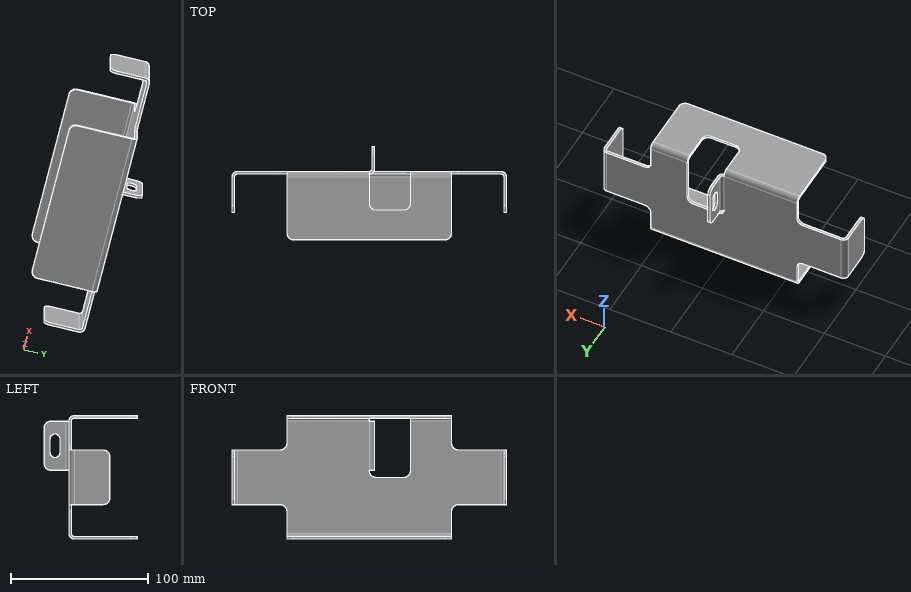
import cadquery as cq

thickness = 2.0
inner_bend = 2.0
outer_bend = inner_bend + thickness
corner_radius = 5.0

overall_height = 90.0
flange_length = 120.0
flange_depth = 50.0

overall_length = 200.0
arm_height = 40.0
arm_depth = 30.0

window_left = 0.0
window_width = 30.0
window_floor = 0.0
window_depth = 28.3

tab_reach = 18.0
tab_height = 36.0
tab_top = overall_height / 2 - outer_bend
tab_bottom = tab_top - tab_height
tab_middle = (tab_top + tab_bottom) / 2
slot_width = 7.0
slot_length = 17.0
slot_end_distance = 8.0


def box(x_range, y_range, z_range):
    """Axis-aligned box spanning the given (low, high) ranges."""
    ranges = (x_range, y_range, z_range)
    sizes = [high - low for low, high in ranges]
    corner = tuple(low for low, high in ranges)
    return cq.Workplane("XY").box(*sizes, centered=False).translate(corner)


def bent_channel(span, depth, width):
    """U-shaped sheet with legs `span` apart over their outer faces along X, and `width` high along Z."""
    half_span = span / 2
    half_width = width / 2
    outer = box((-half_span, half_span), (-depth, 0), (-half_width, half_width))
    outer = outer.edges("|Z and >Y").fillet(outer_bend)
    half_gap = half_span - thickness
    gap = box((-half_gap, half_gap), (-depth, -thickness), (-half_width, half_width))
    gap = gap.edges("|Z and >Y").fillet(inner_bend)
    legs = outer.cut(gap)
    return legs.edges("|X and <Y").fillet(corner_radius)


def inside_corner(x_corner, z_corner, x_side, z_side):
    """Concave fillet filling the web corner that opens towards (x_side, z_side)."""
    x_end = x_corner + x_side * corner_radius
    z_end = z_corner + z_side * corner_radius
    block = box(
        (min(x_corner, x_end), max(x_corner, x_end)),
        (-thickness, 0),
        (min(z_corner, z_end), max(z_corner, z_end)),
    )
    cutter = cq.Workplane("XZ").center(x_end, z_end).circle(corner_radius).extrude(thickness)
    return block.cut(cutter)


def make_body():
    """Long channel and end-flange channel sharing one web, with filleted inside corners."""
    long_channel = bent_channel(overall_height, flange_depth, flange_length)
    long_channel = long_channel.rotate((0, 0, 0), (0, 1, 0), 90)
    arm_channel = bent_channel(overall_length, arm_depth, arm_height)
    body = long_channel.union(arm_channel)
    half_length = flange_length / 2
    half_height = arm_height / 2
    for x_side in (-1, 1):
        for z_side in (-1, 1):
            x_corner = x_side * half_length
            z_corner = z_side * half_height
            body = body.union(inside_corner(x_corner, z_corner, x_side, z_side))
    return body


def cut_window(body):
    """Open the web and the top flange, rounding the window's closed corners."""
    window_right = window_left + window_width
    half_height = overall_height / 2
    web_opening = box((window_left, window_right), (-outer_bend, 0), (window_floor, half_height))
    web_opening = web_opening.edges("|Y and <Z").fillet(corner_radius)
    flange_opening = box(
        (window_left, window_right),
        (-window_depth, 0),
        (half_height - outer_bend, half_height),
    )
    flange_opening = flange_opening.edges("|Z and <Y").fillet(corner_radius)
    return body.cut(web_opening).cut(flange_opening)


def make_tab():
    """Slotted tab: a quarter bend from the window's left edge, then a flat leg to +Y."""
    tab_right = window_left + outer_bend
    tab_left = window_left + inner_bend
    bend_box = box((window_left, tab_right), (-thickness, inner_bend), (tab_bottom, tab_top))
    bend = (
        cq.Workplane("XY", origin=(window_left, inner_bend, tab_bottom))
        .circle(outer_bend)
        .circle(inner_bend)
        .extrude(tab_height)
        .intersect(bend_box)
    )
    leg = box((tab_left, tab_right), (inner_bend, tab_reach), (tab_bottom, tab_top))
    leg = leg.edges("|X and >Y").fillet(corner_radius)
    slot = (
        cq.Workplane("YZ", origin=(tab_left, tab_reach - slot_end_distance, tab_middle))
        .slot2D(slot_length, slot_width, 90)
        .extrude(thickness)
    )
    return bend.union(leg).cut(slot)


result = cut_window(make_body()).union(make_tab())